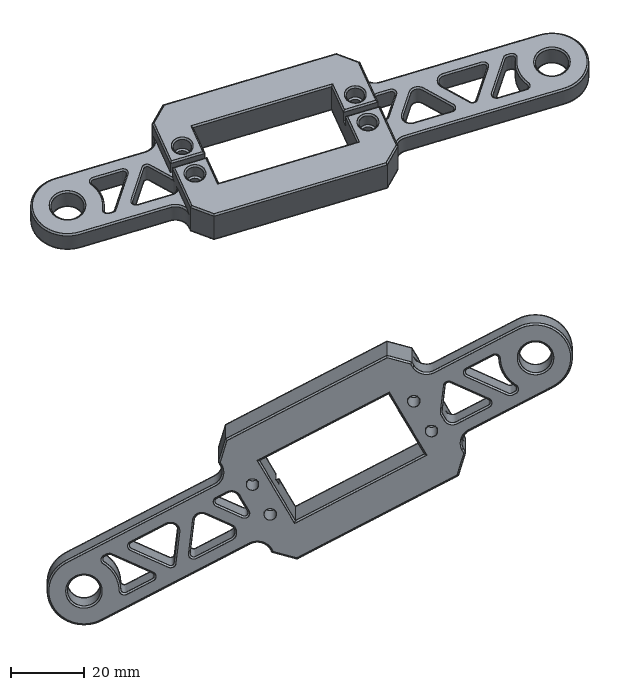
import cadquery as cq
import math

frame_width = 40.0
frame_length = 60.0
frame_height = 11.5
corner_cut = 5.0
window_width = 20.0
window_length = 40.0
upper_arm_length = 60.0
lower_arm_length = 40.0
arm_width = 20.0
arm_height = 7.0
edge_chamfer = 0.5

root_fillet = 4.0
arm_overlap = 1.6
end_hole_diameter = 9.0
end_ring_radius = 10.0
rail_width = 4.0
brace_width = 4.0
brace_angle = 35.5
brace_pitch = 13.3
first_brace_distance = 18.0
pocket_fillet = 1.0
blunt_pocket_fillet = 2.0
smallest_pocket_area = 2.56
corner_tolerance = 0.02

slot_width = 1.5
screw_spacing = 10.0
screw_diameter = 3.4
head_diameter = 5.0
head_depth = frame_height - arm_height

arm_half_width = arm_width / 2
pocket_half_width = arm_half_width - rail_width
end_bar_width = (frame_length - window_length) / 2
end_bar_center = (frame_length - end_bar_width) / 2
frame_end = frame_length / 2


def break_edges(body):
    """Chamfer every edge of the top and bottom faces."""
    return body.faces("<Z or >Z").edges().chamfer(edge_chamfer)


def make_frame():
    frame = (
        cq.Workplane("XY")
        .rect(frame_width, frame_length)
        .extrude(frame_height)
        .edges("|Z")
        .chamfer(corner_cut)
    )
    window = cq.Workplane("XY").rect(window_width, window_length).extrude(frame_height)
    slots = (
        cq.Workplane("XY", origin=(0, 0, arm_height))
        .rect(slot_width, frame_length)
        .extrude(frame_height - arm_height)
    )
    screw_points = [
        (x, y)
        for x in (-screw_spacing / 2, screw_spacing / 2)
        for y in (-end_bar_center, end_bar_center)
    ]
    screw_holes = (
        cq.Workplane("XY")
        .pushPoints(screw_points)
        .circle(screw_diameter / 2)
        .extrude(frame_height)
    )
    head_holes = (
        cq.Workplane("XY", origin=(0, 0, frame_height - head_depth))
        .pushPoints(screw_points)
        .circle(head_diameter / 2)
        .extrude(head_depth)
    )
    return break_edges(frame.cut(window).cut(slots).cut(head_holes)).cut(screw_holes)


def find_blunt_corners(brace_heights):
    """Corners (x, y) to round more: on the rail, the corner far from the end hole of each pocket
    between two braces, or where the frame wall cuts it off; also the tip, past the first such pocket.
    """
    slope = math.tan(math.radians(brace_angle))
    half_brace_rise = brace_width / 2 / math.cos(math.radians(brace_angle))
    corners = []
    for index in range(len(brace_heights) - 1):
        near_y = brace_heights[index]
        far_y = brace_heights[index + 1]
        base_side = -1 if index % 2 == 0 else 1
        corner_y = far_y + half_brace_rise - slope * pocket_half_width
        corners.append((base_side * pocket_half_width, max(corner_y, 0)))
        if index > 0:
            tip_x = ((near_y - far_y) / 2 - half_brace_rise) / slope
            corners.append((-base_side * tip_x, (near_y + far_y) / 2))
    return corners


def make_pockets(hole_y):
    """Openings between the rails, the zigzag braces, the end ring and the frame wall."""
    pockets = (
        cq.Workplane("XY")
        .rect(2 * pocket_half_width, hole_y, centered=(True, False))
        .extrude(arm_height)
    )
    pockets = pockets.cut(
        cq.Workplane("XY", origin=(0, hole_y, 0)).circle(end_ring_radius).extrude(arm_height)
    )
    brace_count = math.ceil(hole_y / brace_pitch)
    brace_heights = [hole_y - first_brace_distance - index * brace_pitch for index in range(brace_count)]
    for index, brace_y in enumerate(brace_heights):
        tilt = -brace_angle if index % 2 == 0 else brace_angle
        brace = (
            cq.Workplane("XY")
            .rect(2 * arm_width, brace_width)
            .extrude(arm_height)
            .rotate((0, 0, 0), (0, 0, 1), tilt)
            .translate((0, brace_y, 0))
        )
        pockets = pockets.cut(brace)

    smallest_volume = smallest_pocket_area * arm_height
    kept_pockets = [pocket for pocket in pockets.solids().vals() if pocket.Volume() > smallest_volume]
    pockets = cq.Workplane("XY").newObject(kept_pockets).combine()

    blunt_corners = find_blunt_corners(brace_heights)

    def is_blunt(edge):
        center = edge.Center()
        return any(math.dist((center.x, center.y), corner) < corner_tolerance for corner in blunt_corners)

    pockets = pockets.edges("|Z").filter(lambda edge: not is_blunt(edge)).fillet(pocket_fillet)
    return pockets.edges("|Z").filter(is_blunt).fillet(blunt_pocket_fillet)


def make_arm(length):
    """Arm along +Y whose root meets the frame wall at Y = 0."""
    root_half_width = arm_half_width + root_fillet
    hole_y = length - arm_half_width
    arc_mid = root_fillet * (1 - math.sqrt(0.5))
    arm = (
        cq.Workplane("XY")
        .moveTo(-root_half_width, -arm_overlap)
        .lineTo(root_half_width, -arm_overlap)
        .lineTo(root_half_width, 0)
        .threePointArc((arm_half_width + arc_mid, arc_mid), (arm_half_width, root_fillet))
        .lineTo(arm_half_width, hole_y)
        .threePointArc((0, length), (-arm_half_width, hole_y))
        .lineTo(-arm_half_width, root_fillet)
        .threePointArc((-arm_half_width - arc_mid, arc_mid), (-root_half_width, 0))
        .close()
        .extrude(arm_height)
    )
    end_hole = cq.Workplane("XY", origin=(0, hole_y, 0)).circle(end_hole_diameter / 2).extrude(arm_height)
    return break_edges(arm.cut(end_hole).cut(make_pockets(hole_y)))


upper_arm = make_arm(upper_arm_length).translate((0, frame_end, 0))
lower_arm = (
    make_arm(lower_arm_length)
    .rotate((0, 0, 0), (0, 0, 1), 180)
    .translate((0, -frame_end, 0))
)
result = make_frame().union(upper_arm).union(lower_arm)